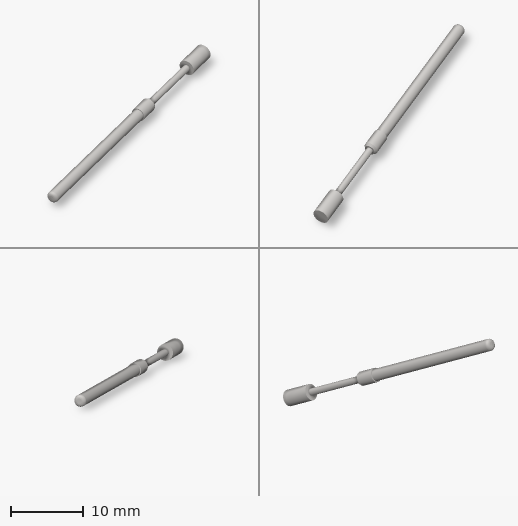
import cadquery as cq

total_length = 38.6

head_diameter = 2.3
head_length = 4.25

rod_diameter = 1.0

collar_diameter = 2.0
collar_length = 3.0
collar_back = 25.05
collar_chamfer_length = 0.35
collar_chamfer_depth = 0.25

barrel_diameter = 1.7
tip_radius = 0.45


def cylinder(diameter, start, end):
    """Solid round bar on the Y axis between two Y positions."""
    plane = cq.Plane(origin=(0, start, 0), xDir=(1, 0, 0), normal=(0, 1, 0))
    return cq.Workplane(plane).circle(diameter / 2).extrude(end - start)


head_start = total_length - head_length
collar_front = collar_back - collar_length

barrel = cylinder(barrel_diameter, 0, collar_front).faces("<Y").edges().fillet(tip_radius)

collar_outer_edge = cylinder(collar_diameter, collar_front, collar_back).faces(">Y").edges()
collar = collar_outer_edge.chamfer(collar_chamfer_length, collar_chamfer_depth)

rod = cylinder(rod_diameter, collar_back, head_start)
head = cylinder(head_diameter, head_start, total_length)

result = barrel.union(collar).union(rod).union(head)